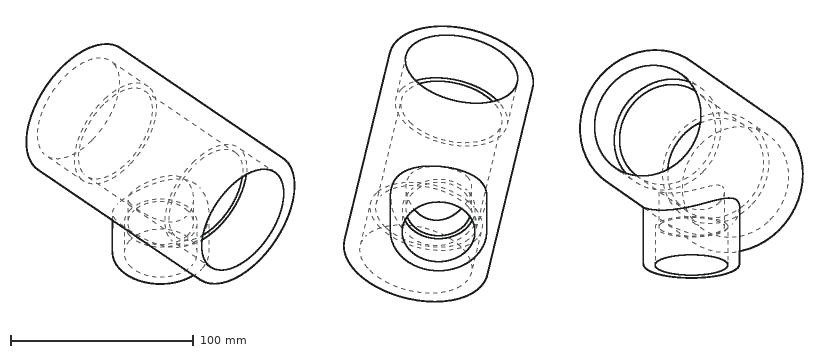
import cadquery as cq

run_length = 129.5
run_diameter = 81.0
run_bore_diameter = 56.7
run_socket_diameter = 63.0
run_socket_depth = 29.1
run_rounding = 1.0

total_height = 105.5
branch_reach = total_height - run_diameter / 2
branch_diameter = 53.0
branch_bore_diameter = 36.0
branch_socket_diameter = 40.0
branch_socket_depth = 22.0
branch_rounding = 0.8


def cylinder_along_x(diameter, start, length):
    return cq.Workplane("YZ", origin=(start, 0, 0)).circle(diameter / 2).extrude(length)


def cylinder_up_from_branch_end(diameter, length):
    return cq.Workplane("XY", origin=(0, 0, -branch_reach)).circle(diameter / 2).extrude(length)


run = cylinder_along_x(run_diameter, -run_length / 2, run_length).edges().fillet(run_rounding)
branch = cylinder_up_from_branch_end(branch_diameter, branch_reach).faces("<Z").edges().fillet(branch_rounding)
body = run.union(branch)

body = body.cut(cylinder_along_x(run_bore_diameter, -run_length / 2, run_length))
for socket_start in (-run_length / 2, run_length / 2 - run_socket_depth):
    body = body.cut(cylinder_along_x(run_socket_diameter, socket_start, run_socket_depth))

body = body.cut(cylinder_up_from_branch_end(branch_bore_diameter, branch_reach))
body = body.cut(cylinder_up_from_branch_end(branch_socket_diameter, branch_socket_depth))

result = body